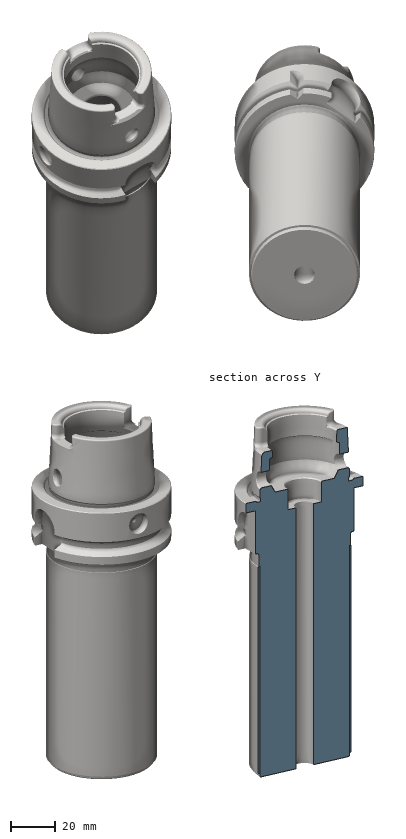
import cadquery as cq
import math

TOTAL_HEIGHT = 165.9
SHANK_LENGTH = 31.9
FLANGE_FACE_Z = TOTAL_HEIGHT - SHANK_LENGTH

SLEEVE_RADIUS = 25.0
SLEEVE_LENGTH = 100.0
LIP_HEIGHT = 1.8
SLEEVE_TOP_Z = LIP_HEIGHT + SLEEVE_LENGTH

CORE_RADIUS = 24.0
LIP_CHAMFER = 0.5
NECK_RADIUS = 24.5

FLANGE_DIAMETER = 62.9
FLANGE_RADIUS = FLANGE_DIAMETER / 2
FLANGE_HEIGHT = 25.7
FLANGE_BOTTOM_Z = FLANGE_FACE_Z - FLANGE_HEIGHT
FLANGE_EDGE_CHAMFER = 0.3
FLANGE_ROOT_CHAMFER = 0.7
GROOVE_RADIUS = 27.4
GROOVE_FLOOR_WIDTH = 2.7
GROOVE_CENTRE_Z = 116.1
GROOVE_FLANK_ANGLE = 30.0

RELIEF_RADIUS = 26.2
RELIEF_DEPTH = 0.7

SHANK_BASE_DIAMETER = 48.3
SHANK_BASE_RADIUS = SHANK_BASE_DIAMETER / 2
SHANK_TOP_RADIUS = 22.5
SHANK_LAND_RADIUS = 23.7
SHANK_LAND_HEIGHT = 0.7
SHANK_LAND_CHAMFER = 0.7
TAPER_LENGTH = SHANK_LENGTH - SHANK_LAND_HEIGHT - SHANK_LAND_CHAMFER
TAPER_RATE = (SHANK_BASE_RADIUS - SHANK_TOP_RADIUS) / TAPER_LENGTH
SHANK_TOP_FILLET = 0.7

MOUTH_FILLET = 2.0
MOUTH_CHAMFER = 0.7
MOUTH_CHAMFER_HEIGHT = 0.3
MOUTH_DIAMETER = 34.0
MOUTH_RADIUS = MOUTH_DIAMETER / 2
MOUTH_DEPTH = 12.5
UNDERCUT_RADIUS = 18.5
UNDERCUT_STEP = 0.8
UNDERCUT_BOTTOM_Z = 141.2
CAVITY_FLOOR_RADIUS = 15.8
CAVITY_CONE_ANGLE = 30.0
CAVITY_CONE_WIDTH = UNDERCUT_RADIUS - CAVITY_FLOOR_RADIUS
CAVITY_CONE_HEIGHT = CAVITY_CONE_WIDTH / math.tan(math.radians(CAVITY_CONE_ANGLE))
CAVITY_FLOOR_Z = UNDERCUT_BOTTOM_Z - CAVITY_CONE_HEIGHT
COUNTERBORE_RADIUS = 8.8
COUNTERBORE_CHAMFER = 0.5
COUNTERBORE_DEPTH = 10.0
BORE_RADIUS = 4.6

DRIVE_SLOT_WIDTH = 12.5
SHALLOW_SLOT_DEPTH = 6.5
DEEP_SLOT_DEPTH = 9.1
SLOT_CORNER_FILLET = 1.8
PRONG_FILLET = 2.5
DEEP_SLOT_CHAMFER_RADIUS = 21.9
SLOT_CHAMFER_REACH = 2.5

CROSS_HOLE_RADIUS = 3.6
CROSS_HOLE_CHAMFER = 0.5
CROSS_HOLE_Z = 143.5

KEYWAY_WIDTH = 16.6
KEYWAY_FLOOR_X = 26.4
KEYWAY_TOP_Z = 129.2
KEYWAY_BOTTOM_Z = FLANGE_BOTTOM_Z - FLANGE_ROOT_CHAMFER
NOTCH_FLOOR_X = 20.0
NOTCH_WALL_Y = 19.7
NOTCH_TOP_Z = 129.0
NOTCH_ROUND = 6.0

CHIP_HOLE_RADIUS = 5.0
CHIP_HOLE_DEPTH = 4.5
CHIP_HOLE_Z = 126.7
CHIP_PILOT_RADIUS = 1.2
CHIP_PILOT_TIP_RADIUS = 0.5
CHIP_PILOT_DEPTH = 0.7


def turned_body():
    """Solid of revolution: core, neck, flange and tapered shank."""
    flank_drop = (FLANGE_RADIUS - GROOVE_RADIUS) * math.tan(math.radians(GROOVE_FLANK_ANGLE))
    groove_low = GROOVE_CENTRE_Z - GROOVE_FLOOR_WIDTH / 2
    groove_high = GROOVE_CENTRE_Z + GROOVE_FLOOR_WIDTH / 2
    profile = (
        cq.Workplane("XZ")
        .moveTo(0, 0)
        .lineTo(CORE_RADIUS - LIP_CHAMFER, 0)
        .lineTo(CORE_RADIUS, LIP_CHAMFER)
        .lineTo(CORE_RADIUS, SLEEVE_TOP_Z)
        .lineTo(NECK_RADIUS, SLEEVE_TOP_Z)
        .lineTo(NECK_RADIUS, FLANGE_BOTTOM_Z - FLANGE_ROOT_CHAMFER)
        .lineTo(NECK_RADIUS + FLANGE_ROOT_CHAMFER, FLANGE_BOTTOM_Z)
        .lineTo(FLANGE_RADIUS - FLANGE_EDGE_CHAMFER, FLANGE_BOTTOM_Z)
        .lineTo(FLANGE_RADIUS, FLANGE_BOTTOM_Z + FLANGE_EDGE_CHAMFER)
        .lineTo(FLANGE_RADIUS, groove_low - flank_drop)
        .lineTo(GROOVE_RADIUS, groove_low)
        .lineTo(GROOVE_RADIUS, groove_high)
        .lineTo(FLANGE_RADIUS, groove_high + flank_drop)
        .lineTo(FLANGE_RADIUS, FLANGE_FACE_Z - FLANGE_EDGE_CHAMFER)
        .lineTo(FLANGE_RADIUS - FLANGE_EDGE_CHAMFER, FLANGE_FACE_Z)
        .lineTo(RELIEF_RADIUS, FLANGE_FACE_Z)
        .lineTo(RELIEF_RADIUS - RELIEF_DEPTH, FLANGE_FACE_Z - RELIEF_DEPTH)
        .lineTo(SHANK_LAND_RADIUS, FLANGE_FACE_Z - RELIEF_DEPTH)
        .lineTo(SHANK_LAND_RADIUS, FLANGE_FACE_Z + SHANK_LAND_HEIGHT)
        .lineTo(SHANK_BASE_RADIUS, TOTAL_HEIGHT - TAPER_LENGTH)
        .lineTo(SHANK_TOP_RADIUS, TOTAL_HEIGHT)
        .lineTo(0, TOTAL_HEIGHT)
        .close()
    )
    return profile.revolve(360, (0, 0, 0), (0, 1, 0))


def cavity():
    """Stepped bore on the axis, with a rounded mouth and an undercut."""
    mouth_low = TOTAL_HEIGHT - MOUTH_FILLET
    mouth_arc_radius = MOUTH_RADIUS + MOUTH_CHAMFER
    mouth_arc_inset = MOUTH_FILLET * (1 - math.sqrt(0.5))
    mouth_bottom = TOTAL_HEIGHT - MOUTH_DEPTH
    profile = (
        cq.Workplane("XZ")
        .moveTo(0, 0)
        .lineTo(BORE_RADIUS, 0)
        .lineTo(BORE_RADIUS, CAVITY_FLOOR_Z - COUNTERBORE_DEPTH)
        .lineTo(COUNTERBORE_RADIUS, CAVITY_FLOOR_Z - COUNTERBORE_DEPTH)
        .lineTo(COUNTERBORE_RADIUS, CAVITY_FLOOR_Z - COUNTERBORE_CHAMFER)
        .lineTo(COUNTERBORE_RADIUS + COUNTERBORE_CHAMFER, CAVITY_FLOOR_Z)
        .lineTo(CAVITY_FLOOR_RADIUS, CAVITY_FLOOR_Z)
        .lineTo(UNDERCUT_RADIUS, UNDERCUT_BOTTOM_Z)
        .lineTo(UNDERCUT_RADIUS, mouth_bottom - UNDERCUT_STEP)
        .lineTo(MOUTH_RADIUS, mouth_bottom)
        .lineTo(MOUTH_RADIUS, mouth_low - MOUTH_CHAMFER_HEIGHT)
        .lineTo(mouth_arc_radius, mouth_low)
        .threePointArc(
            (mouth_arc_radius + mouth_arc_inset, TOTAL_HEIGHT - mouth_arc_inset),
            (mouth_arc_radius + MOUTH_FILLET, TOTAL_HEIGHT),
        )
        .lineTo(0, TOTAL_HEIGHT)
        .close()
    )
    return profile.revolve(360, (0, 0, 0), (0, 1, 0))


def slot_plan(side, depth):
    """Plan of a driving slot at its floor height, flared to round the prong ends into the taper."""
    shank_radius = SHANK_TOP_RADIUS + TAPER_RATE * depth
    half_width = DRIVE_SLOT_WIDTH / 2

    arc_y = half_width + PRONG_FILLET
    touch_angle = math.asin(arc_y / (shank_radius - PRONG_FILLET))
    arc_x = side * (shank_radius - PRONG_FILLET) * math.cos(touch_angle)
    touch_x = side * shank_radius * math.cos(touch_angle)
    touch_y = shank_radius * math.sin(touch_angle)
    middle_angle = (touch_angle - math.pi / 2) / 2
    middle_x = arc_x + side * PRONG_FILLET * math.cos(middle_angle)
    middle_y = arc_y + PRONG_FILLET * math.sin(middle_angle)
    outside_x = side * FLANGE_RADIUS
    return (
        cq.Workplane("XY", origin=(0, 0, TOTAL_HEIGHT - depth))
        .moveTo(0, -half_width)
        .lineTo(arc_x, -half_width)
        .threePointArc((middle_x, -middle_y), (touch_x, -touch_y))
        .lineTo(outside_x, -touch_y)
        .lineTo(outside_x, touch_y)
        .lineTo(touch_x, touch_y)
        .threePointArc((middle_x, middle_y), (arc_x, half_width))
        .lineTo(0, half_width)
        .close()
    )


def drive_slot(side, depth):
    """Slot through one wall of the shank rim, with rounded floor corners."""
    slot = slot_plan(side, depth).extrude(2 * depth)
    wall_edges = slot.faces("<Z").edges("(not |Y) and (not (>Y or <Y))")
    return wall_edges.fillet(SLOT_CORNER_FILLET)


def slot_edge_chamfer(side, depth, edge_radius, outward):
    """Conical cut that bevels the floor of a driving slot, falling outward or inward from a radius."""
    floor_z = TOTAL_HEIGHT - depth
    reach = outward * SLOT_CHAMFER_REACH
    cone = (
        cq.Workplane("XZ")
        .moveTo(edge_radius, floor_z)
        .lineTo(edge_radius + reach, floor_z)
        .lineTo(edge_radius + reach, floor_z - SLOT_CHAMFER_REACH)
        .close()
        .revolve(360, (0, 0, 0), (0, 1, 0))
    )
    return cone.intersect(slot_plan(side, depth).extrude(-SLOT_CHAMFER_REACH))


def cross_hole():
    """Hole along X through both shank walls, countersunk on the outside."""
    hole = (
        cq.Workplane("YZ", origin=(0, 0, CROSS_HOLE_Z))
        .circle(CROSS_HOLE_RADIUS)
        .extrude(FLANGE_RADIUS, both=True)
    )
    surface_x = SHANK_TOP_RADIUS + TAPER_RATE * (TOTAL_HEIGHT - CROSS_HOLE_Z)
    for side in (-1, 1):
        countersink = cq.Solid.makeCone(
            CROSS_HOLE_RADIUS + 2 * CROSS_HOLE_CHAMFER,
            CROSS_HOLE_RADIUS,
            2 * CROSS_HOLE_CHAMFER,
            cq.Vector(side * (surface_x + CROSS_HOLE_CHAMFER), 0, CROSS_HOLE_Z),
            cq.Vector(-side, 0, 0),
        )
        hole = hole.union(cq.Workplane(countersink))
    return hole


def keyway(side):
    """Round-topped slot across the flange, open at the flange bottom."""
    half_width = KEYWAY_WIDTH / 2
    arc_z = KEYWAY_TOP_Z - half_width
    return (
        cq.Workplane("YZ", origin=(side * KEYWAY_FLOOR_X, 0, 0))
        .moveTo(-half_width, KEYWAY_BOTTOM_Z)
        .lineTo(-half_width, arc_z)
        .threePointArc((0, KEYWAY_TOP_Z), (half_width, arc_z))
        .lineTo(half_width, KEYWAY_BOTTOM_Z)
        .close()
        .extrude(side * FLANGE_RADIUS)
    )


def corner_notch():
    """Flat-floored notch on the -X, +Y side of the flange, with a rounded upper corner."""
    arc_z = NOTCH_TOP_Z - NOTCH_ROUND
    arc_inset = NOTCH_ROUND * (1 - math.sqrt(0.5))
    return (
        cq.Workplane("YZ", origin=(-NOTCH_FLOOR_X, 0, 0))
        .moveTo(NOTCH_WALL_Y, KEYWAY_BOTTOM_Z)
        .lineTo(NOTCH_WALL_Y, arc_z)
        .threePointArc(
            (NOTCH_WALL_Y + arc_inset, NOTCH_TOP_Z - arc_inset),
            (NOTCH_WALL_Y + NOTCH_ROUND, NOTCH_TOP_Z),
        )
        .lineTo(FLANGE_RADIUS, NOTCH_TOP_Z)
        .lineTo(FLANGE_RADIUS, KEYWAY_BOTTOM_Z)
        .close()
        .extrude(-FLANGE_RADIUS)
    )


def chip_hole():
    """Blind hole from the -Y side of the flange, with a small conical pilot in its floor."""
    floor_y = CHIP_HOLE_DEPTH - FLANGE_RADIUS
    floor = cq.Workplane("XZ", origin=(0, floor_y, CHIP_HOLE_Z))
    pocket = floor.circle(CHIP_HOLE_RADIUS).extrude(2 * CHIP_HOLE_DEPTH)
    pilot = cq.Solid.makeCone(
        CHIP_PILOT_RADIUS,
        CHIP_PILOT_TIP_RADIUS,
        CHIP_PILOT_DEPTH,
        cq.Vector(0, floor_y, CHIP_HOLE_Z),
        cq.Vector(0, 1, 0),
    )
    return pocket.union(cq.Workplane(pilot))


def build_holder():
    """Holder: core, flange and hollow shank with all its cuts."""
    holder = turned_body().cut(cavity())
    for side, depth in ((-1, SHALLOW_SLOT_DEPTH), (1, DEEP_SLOT_DEPTH)):
        holder = holder.cut(drive_slot(side, depth))
    holder = holder.faces(">Z").edges().fillet(SHANK_TOP_FILLET)
    for side, depth in ((-1, SHALLOW_SLOT_DEPTH), (1, DEEP_SLOT_DEPTH)):
        holder = holder.cut(slot_edge_chamfer(side, depth, MOUTH_RADIUS + MOUTH_CHAMFER, -1))
    holder = holder.cut(slot_edge_chamfer(1, DEEP_SLOT_DEPTH, DEEP_SLOT_CHAMFER_RADIUS, 1))
    holder = holder.cut(cross_hole())
    for side in (-1, 1):
        holder = holder.cut(keyway(side))
    holder = holder.cut(corner_notch())
    holder = holder.cut(chip_hole())
    return holder


def build_sleeve():
    """Plain sleeve seated between the neck shoulder and the end lip."""
    return (
        cq.Workplane("XY", origin=(0, 0, LIP_HEIGHT))
        .circle(SLEEVE_RADIUS)
        .circle(CORE_RADIUS)
        .extrude(SLEEVE_LENGTH)
    )


holder = build_holder()
sleeve = build_sleeve()
result = cq.Compound.makeCompound([holder.val(), sleeve.val()])